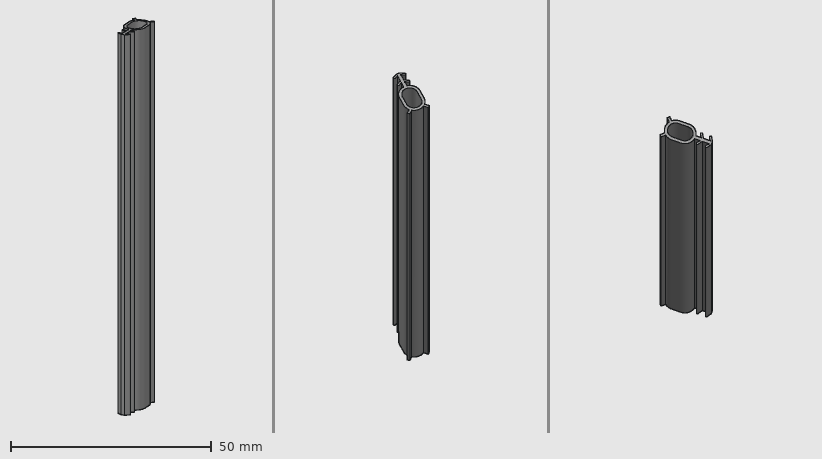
import cadquery as cq
import math

length = 100.0
depth = 12.9

inner_radius = 2.0
wall = 0.8
tube_low_centre_y = 7.2
tube_high_centre_y = 9.7

stem_width = 0.9
barb_reach = 1.7
barb_rise = 0.9
barb_root_height = 0.6
barb_tip_radius = 0.3
barb_foot_levels = (0.0, 2.4)

lip_reach = 3.0
lip_tip_step = 0.5
lip_run = 1.5


def oval(radius):
    """Solid bar of stadium cross-section around the tube axis."""
    straight = tube_high_centre_y - tube_low_centre_y
    middle_y = (tube_high_centre_y + tube_low_centre_y) / 2
    return (
        cq.Workplane("XY")
        .center(0, middle_y)
        .slot2D(straight + 2 * radius, 2 * radius, 90)
        .extrude(length)
    )


def barbs(foot_y):
    """Pair of barbs rising outward from the stem, with round tips."""
    half_stem = stem_width / 2
    tip_x = barb_reach - barb_tip_radius
    tip_y = foot_y + barb_rise
    slope = math.atan2(barb_rise - barb_root_height / 2, tip_x - half_stem)
    offset_x = barb_tip_radius * math.sin(slope)
    offset_y = barb_tip_radius * math.cos(slope)
    right_side = (
        cq.Workplane("XY")
        .moveTo(0, foot_y)
        .lineTo(half_stem, foot_y)
        .lineTo(tip_x + offset_x, tip_y - offset_y)
        .threePointArc(
            (tip_x + offset_y, tip_y + offset_x),
            (tip_x - offset_x, tip_y + offset_y),
        )
        .lineTo(half_stem, foot_y + barb_root_height)
        .lineTo(0, foot_y + barb_root_height)
        .close()
        .extrude(length)
    )
    return right_side.union(right_side.mirror("YZ"))


def lips():
    """Pair of slanted lips with square ends, rooted inside the tube wall."""
    inner_x = lip_reach - lip_tip_step
    outer_y = depth - lip_tip_step
    tip_and_root = [
        (lip_reach, outer_y),
        (inner_x, depth),
        (inner_x - lip_run, depth - lip_run),
        (lip_reach - lip_run, outer_y - lip_run),
    ]
    right_side = cq.Workplane("XY").polyline(tip_and_root).close().extrude(length)
    return right_side.union(right_side.mirror("YZ"))


stem = cq.Workplane("XY").box(
    stem_width, tube_low_centre_y, length, centered=(True, False, False)
)

profile = oval(inner_radius + wall).union(stem).union(lips())
for level in barb_foot_levels:
    profile = profile.union(barbs(level))

result = profile.cut(oval(inner_radius)).translate((0, -depth / 2, 0))